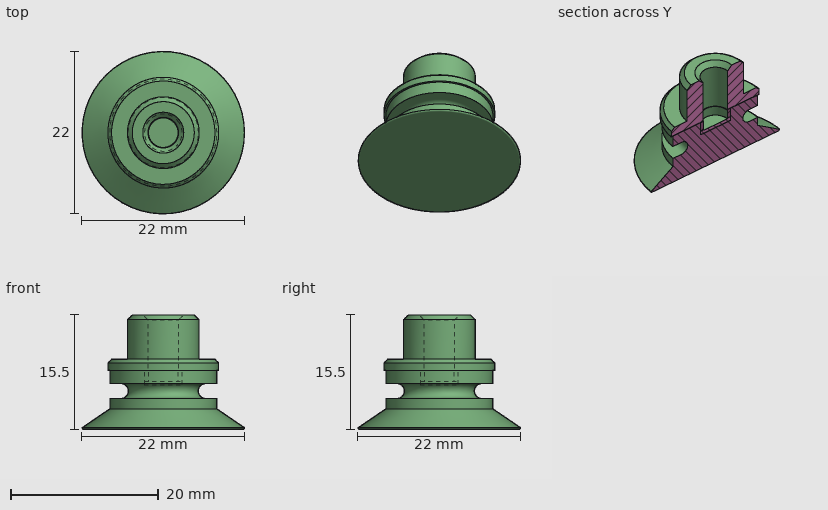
import cadquery as cq
import math


total_height = 15.5
fitting_bottom = 8.0
flange_top = 9.5
groove_top = 6.2
groove_bottom = 4.2
lip_cone_top = 2.8

stem_diameter = 9.72
stem_chamfer = 0.65
flange_diameter = 15.0
flange_chamfer = 0.5
bore_diameter = 4.14
bore_chamfer = 0.7

lip_diameter = 22.0
lip_edge_radius = 0.25
neck_diameter = 14.5
groove_floor_diameter = 9.5

sleeve_bore_diameter = 4.0
pocket_diameter = 5.05
sleeve_length = 1.5
filter_thickness = 0.5
sleeve_bottom = fitting_bottom - sleeve_length
filter_bottom = sleeve_bottom - filter_thickness


def cylinder(diameter, bottom, height):
    return cq.Workplane("XY").workplane(offset=bottom).circle(diameter / 2).extrude(height)


def make_fitting():
    flange = cylinder(flange_diameter, fitting_bottom, flange_top - fitting_bottom)
    flange = flange.faces(">Z").edges().chamfer(flange_chamfer)
    stem = cylinder(stem_diameter, flange_top, total_height - flange_top)
    stem = stem.faces(">Z").edges().chamfer(stem_chamfer)
    bore = cylinder(bore_diameter, fitting_bottom, total_height - fitting_bottom)
    body = flange.union(stem).cut(bore)
    bore_mouth = body.faces(">Z").edges(cq.selectors.RadiusNthSelector(0))
    return bore_mouth.chamfer(bore_chamfer)


def make_cup():
    neck_radius = neck_diameter / 2
    lip_radius = lip_diameter / 2
    base_radius = lip_radius - lip_edge_radius
    groove_radius = (groove_top - groove_bottom) / 2
    groove_center_height = (groove_top + groove_bottom) / 2
    groove_center_radius = groove_floor_diameter / 2 + groove_radius
    groove_middle = (groove_floor_diameter / 2, groove_center_height)
    edge_reach = lip_edge_radius * math.sqrt(0.5)
    edge_middle = (base_radius + edge_reach, lip_edge_radius - edge_reach)

    profile = (
        cq.Workplane("XZ")
        .lineTo(base_radius, 0)
        .threePointArc(edge_middle, (lip_radius, lip_edge_radius))
        .lineTo(neck_radius, lip_cone_top)
        .lineTo(neck_radius, groove_bottom)
        .lineTo(groove_center_radius, groove_bottom)
        .threePointArc(groove_middle, (groove_center_radius, groove_top))
        .lineTo(neck_radius, groove_top)
        .lineTo(neck_radius, fitting_bottom)
        .lineTo(0, fitting_bottom)
        .close()
    )
    body = profile.revolve(360, (0, 0, 0), (0, 1, 0))
    pocket = cylinder(pocket_diameter, filter_bottom, fitting_bottom - filter_bottom)
    return body.cut(pocket)


def make_sleeve():
    tube = cylinder(pocket_diameter, sleeve_bottom, sleeve_length)
    return tube.cut(cylinder(sleeve_bore_diameter, sleeve_bottom, sleeve_length))


def make_filter():
    return cylinder(pocket_diameter, filter_bottom, filter_thickness)


fitting = make_fitting()
cup = make_cup()
sleeve = make_sleeve()
filter_disc = make_filter()

result = cq.Compound.makeCompound([fitting.val(), cup.val(), sleeve.val(), filter_disc.val()])